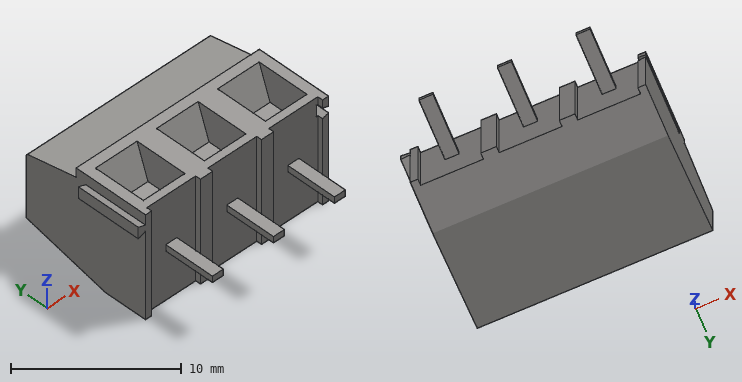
import cadquery as cq


ways = 3
pitch = 5.0
width = ways * pitch
depth = 10.0
height = 8.2
collar_depth = 5.8
slope_top_z = 7.47
back_top_z = 6.66
back_bottom_z = 1.66
base_depth = 3.36
back_edge_radius = 0.25

rib_half_width = 0.5
panel_recess = 0.4

entry_width = 3.4
entry_front_y = 1.0
entry_back_y = 5.0
entry_floor_width = 2.8
entry_floor_front_y = 1.64
entry_floor_back_y = 3.78
entry_depth = 2.2

pin_width = 0.9
pin_thickness = 0.5
pin_length = 3.5
pin_z = height / 2

dovetail_reach = 0.6
dovetail_length = 5.0
dovetail_z = 7.15
dovetail_root_height = 0.5
dovetail_tip_height = 0.9

way_centers = [(way + 0.5) * pitch for way in range(ways)]


def box(x_min, y_min, z_min, x_size, y_size, z_size):
    """Box placed by its lowest corner."""
    return cq.Workplane("XY").box(x_size, y_size, z_size, centered=False).translate((x_min, y_min, z_min))


def make_housing():
    """Side outline extruded across the width, with the upper back edge rounded."""
    outline = [
        (0, 0),
        (base_depth, 0),
        (depth, back_bottom_z),
        (depth, back_top_z),
        (collar_depth, slope_top_z),
        (collar_depth, height),
        (0, height),
    ]
    body = cq.Workplane("YZ").polyline(outline).close().extrude(width)
    upper_back_edge = cq.selectors.NearestToPointSelector((width / 2, depth, back_top_z))
    return body.edges(upper_back_edge).fillet(back_edge_radius)


def make_panel_recess(center_x):
    """Full-height shallow recess in the front face of one way."""
    panel_width = pitch - 2 * rib_half_width
    return box(center_x - panel_width / 2, 0, 0, panel_width, panel_recess, height)


def make_wire_entry(center_x):
    """Funnel that narrows from the top face to a smaller flat floor."""
    entry_size_y = entry_back_y - entry_front_y
    floor_size_y = entry_floor_back_y - entry_floor_front_y
    entry_center_y = (entry_front_y + entry_back_y) / 2
    floor_center_y = (entry_floor_front_y + entry_floor_back_y) / 2
    return (
        cq.Workplane("XY", origin=(center_x, entry_center_y, height))
        .rect(entry_width, entry_size_y)
        .workplane(offset=-entry_depth)
        .center(0, floor_center_y - entry_center_y)
        .rect(entry_floor_width, floor_size_y)
        .loft(ruled=True)
    )


def make_pin(center_x):
    """Flat pin that starts at the recessed panel and points forward."""
    return box(
        center_x - pin_width / 2,
        -pin_length,
        pin_z - pin_thickness / 2,
        pin_width,
        pin_length + panel_recess,
        pin_thickness,
    )


def make_dovetail(root_x):
    """Dovetail bar that widens toward -X from its root, running back from the front face."""
    tip_x = root_x - dovetail_reach
    outline = [
        (root_x, dovetail_z - dovetail_root_height / 2),
        (root_x, dovetail_z + dovetail_root_height / 2),
        (tip_x, dovetail_z + dovetail_tip_height / 2),
        (tip_x, dovetail_z - dovetail_tip_height / 2),
    ]
    return cq.Workplane("XZ").polyline(outline).close().extrude(-dovetail_length)


result = make_housing()
for way_x in way_centers:
    result = result.cut(make_panel_recess(way_x))
    result = result.cut(make_wire_entry(way_x))
    result = result.union(make_pin(way_x))
result = result.union(make_dovetail(0))
result = result.cut(make_dovetail(width))